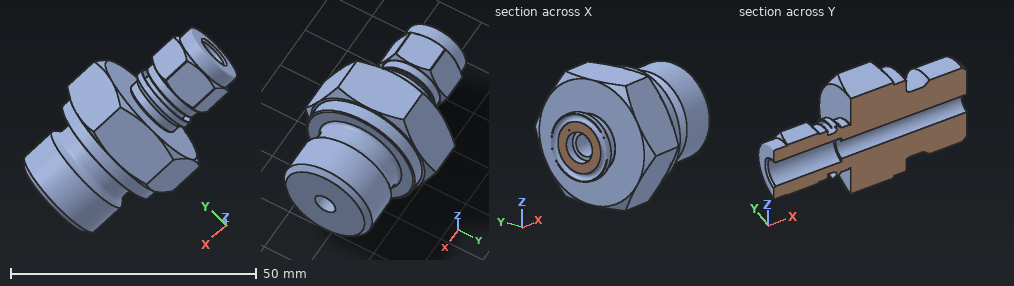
import cadquery as cq
import math

nut_hex_start = 3.05
nut_hex_end = 10.55
nut_end = 12.6
collar_start = 13.5
collar_end = 14.8
shank_start = 15.7
body_hex_start = 17.85
body_hex_end = 27.85
flange_end = 30.8
relief_start = 31.8
relief_end = 34.35
length = 44.85

nut_front_diameter = 13.9
nut_back_diameter = 13.6
nut_neck_diameter = 11.1
collar_diameter = 14.6
shank_diameter = 12.6
flange_diameter = 25.8
relief_diameter = 18.4
thread_diameter = 20.95

recess_diameter = 14.1
recess_straight_depth = 0.35

nut_flats = 14.25
nut_corner_diameter = 16.35
body_flats = 27.0
hex_chamfer_angle = 30.0

nut_front_fillet = 0.4
nut_back_chamfer = 0.22
shank_chamfer = 0.3
flange_chamfer_length = 0.15
flange_chamfer_depth = 0.4
thread_chamfer = 1.1
relief_radius = 1.1

through_diameter = 4.85
tube_bore_diameter = 6.55
tube_bore_depth = 15.7
bore_chamfer = 0.45


def cylinder(start, end, diameter):
    """Round section centred on the X axis."""
    return cq.Workplane("YZ").workplane(offset=start).circle(diameter / 2).extrude(end - start)


def cone_limit(start, end, face_diameter, rim_diameter):
    """Cylinder whose two ends taper down to face_diameter."""
    face_radius = face_diameter / 2
    rim_radius = rim_diameter / 2
    taper = (rim_radius - face_radius) * math.tan(math.radians(hex_chamfer_angle))
    profile = [
        (start, 0),
        (start, face_radius),
        (start + taper, rim_radius),
        (end - taper, rim_radius),
        (end, face_radius),
        (end, 0),
    ]
    return revolve(cq.Workplane("XY").polyline(profile))


def revolve(profile):
    """Close a half profile and turn it about the X axis."""
    return profile.close().revolve(360, (0, 0, 0), (1, 0, 0))


def hexagon(start, end, flats, face_diameter, rim_diameter):
    """Hexagon with corners on the Y axis and conically chamfered ends."""
    corners = flats / math.cos(math.pi / 6)
    prism = cq.Workplane("YZ").workplane(offset=start).polygon(6, corners).extrude(end - start)
    return prism.intersect(cone_limit(start, end, face_diameter, rim_diameter))


def make_nut():
    front = cylinder(0, nut_hex_start, nut_front_diameter).faces("<X").edges().fillet(nut_front_fillet)
    hexagonal = hexagon(nut_hex_start, nut_hex_end, nut_flats, nut_front_diameter, nut_corner_diameter)
    back = cylinder(nut_hex_end, nut_end, nut_back_diameter).faces(">X").edges().chamfer(nut_back_chamfer)
    return front.union(hexagonal).union(back)


def make_shank():
    """Neck behind the nut, collar with a round-bottomed recess and conical back, and shank."""
    neck_radius = nut_neck_diameter / 2
    collar_radius = collar_diameter / 2
    shank_radius = shank_diameter / 2
    recess_radius = recess_diameter / 2
    recess_bottom_radius = (recess_radius - neck_radius) / 2
    recess_arc_start = collar_start + recess_straight_depth
    profile = (
        cq.Workplane("XY")
        .moveTo(nut_end, 0)
        .lineTo(nut_end, neck_radius)
        .lineTo(recess_arc_start, neck_radius)
        .threePointArc(
            (recess_arc_start + recess_bottom_radius, neck_radius + recess_bottom_radius),
            (recess_arc_start, recess_radius),
        )
        .lineTo(collar_start, recess_radius)
        .lineTo(collar_start, collar_radius)
        .lineTo(collar_end, collar_radius)
        .lineTo(shank_start, shank_radius)
        .lineTo(body_hex_start - shank_chamfer, shank_radius)
        .lineTo(body_hex_start, shank_radius - shank_chamfer)
        .lineTo(body_hex_start, 0)
    )
    return revolve(profile)


def make_threaded_end():
    """Flange, relief groove with rounded sides, and plain thread cylinder."""
    flange_radius = flange_diameter / 2
    relief_bottom = relief_diameter / 2
    thread_radius = thread_diameter / 2
    arc_center_height = relief_bottom + relief_radius

    def arc_height(offset):
        return arc_center_height - math.sqrt(relief_radius**2 - offset**2)

    left_run = relief_start - flange_end
    right_run = relief_radius * math.sin(math.pi / 4)
    cone_start = relief_end + right_run
    cone_end = cone_start + thread_radius - arc_height(right_run)
    profile = (
        cq.Workplane("XY")
        .moveTo(body_hex_end, 0)
        .lineTo(body_hex_end, flange_radius)
        .lineTo(flange_end - flange_chamfer_length, flange_radius)
        .lineTo(flange_end, flange_radius - flange_chamfer_depth)
        .lineTo(flange_end, arc_height(left_run))
        .threePointArc(
            (relief_start - left_run / 2, arc_height(left_run / 2)),
            (relief_start, relief_bottom),
        )
        .lineTo(relief_end, relief_bottom)
        .threePointArc(
            (relief_end + right_run / 2, arc_height(right_run / 2)),
            (cone_start, arc_height(right_run)),
        )
        .lineTo(cone_end, thread_radius)
        .lineTo(length - thread_chamfer, thread_radius)
        .lineTo(length, thread_radius - thread_chamfer)
        .lineTo(length, 0)
    )
    return revolve(profile)


def make_bore():
    """Through hole with a wider, chamfered tube socket at the nut end."""
    socket_radius = tube_bore_diameter / 2
    through_radius = through_diameter / 2
    profile = [
        (0, 0),
        (0, socket_radius + bore_chamfer),
        (bore_chamfer, socket_radius),
        (tube_bore_depth, socket_radius),
        (tube_bore_depth, through_radius),
        (length, through_radius),
        (length, 0),
    ]
    return revolve(cq.Workplane("XY").polyline(profile))


body_corners = body_flats / math.cos(math.pi / 6)
body = hexagon(body_hex_start, body_hex_end, body_flats, body_flats, body_corners)
result = make_nut().union(make_shank()).union(body).union(make_threaded_end()).cut(make_bore())